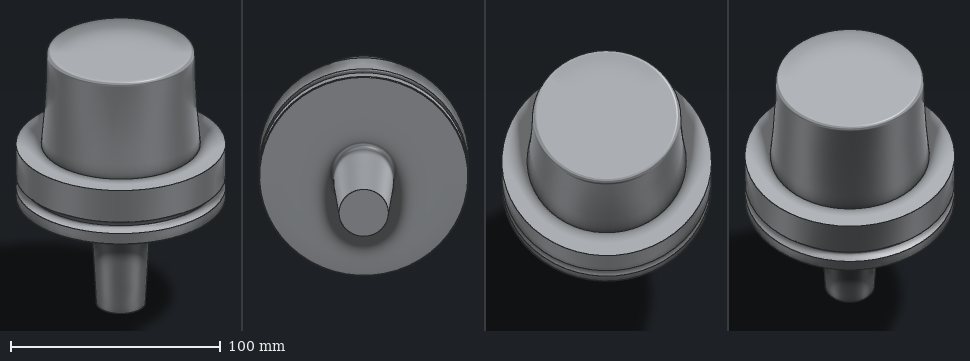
import cadquery as cq

HEIGHT = 135.0

FLANGE_RADIUS = 100.0 / 2
FLANGE_TOP = 85.0
FLANGE_BOTTOM = 56.2
FLANGE_CHAMFER = 0.4
GROOVE_TOP = 68.2
GROOVE_BOTTOM = 62.1
GROOVE_FLOOR_RADIUS = 45.9
GROOVE_WALL_HEIGHT = 1.6
GROOVE_CORNER_FILLET = 0.8

BODY_BASE_RADIUS = 38.0
BODY_TOP_RADIUS = 35.4
BODY_RIM_FILLET = 2.0

NECK_RADIUS = 14.3
NECK_BOTTOM = 47.2
NECK_FILLET = 3.0
SHANK_END_RADIUS = 11.7


def make_shank():
    """Revolve the neck and taper, with a flare rounding into the flange."""
    flare_radius = NECK_RADIUS + NECK_FILLET
    return (
        cq.Workplane("XZ")
        .lineTo(SHANK_END_RADIUS, 0)
        .lineTo(NECK_RADIUS, NECK_BOTTOM)
        .lineTo(NECK_RADIUS, FLANGE_BOTTOM - NECK_FILLET)
        .radiusArc((flare_radius, FLANGE_BOTTOM), NECK_FILLET)
        .lineTo(flare_radius, FLANGE_TOP)
        .lineTo(0, FLANGE_TOP)
        .close()
        .revolve(360, (0, 0), (0, 1))
    )


def make_flange():
    """Make the chamfered disc and cut its rim groove."""
    disc = (
        cq.Workplane("XY", origin=(0, 0, FLANGE_BOTTOM))
        .circle(FLANGE_RADIUS)
        .extrude(FLANGE_TOP - FLANGE_BOTTOM)
        .faces("<Z")
        .chamfer(FLANGE_CHAMFER)
    )
    profile = [
        (FLANGE_RADIUS, GROOVE_TOP),
        (GROOVE_FLOOR_RADIUS, GROOVE_TOP - GROOVE_WALL_HEIGHT),
        (GROOVE_FLOOR_RADIUS, GROOVE_BOTTOM + GROOVE_WALL_HEIGHT),
        (FLANGE_RADIUS, GROOVE_BOTTOM),
    ]
    groove = cq.Workplane("XZ").polyline(profile).close().revolve(360, (0, 0), (0, 1))
    floor_edges = cq.selectors.RadiusNthSelector(0)
    groove = groove.edges(floor_edges).fillet(GROOVE_CORNER_FILLET)
    return disc.cut(groove)


def make_body():
    """Revolve the flared upper body with its rounded top rim."""
    side_top = HEIGHT - BODY_RIM_FILLET
    rise = side_top - FLANGE_TOP
    flare = BODY_BASE_RADIUS - BODY_TOP_RADIUS
    side_curve_radius = (rise**2 + flare**2) / (2 * flare)
    return (
        cq.Workplane("XZ", origin=(0, 0, FLANGE_TOP))
        .lineTo(BODY_BASE_RADIUS, 0)
        .radiusArc((BODY_TOP_RADIUS, rise), side_curve_radius)
        .radiusArc((BODY_TOP_RADIUS - BODY_RIM_FILLET, rise + BODY_RIM_FILLET), -BODY_RIM_FILLET)
        .lineTo(0, rise + BODY_RIM_FILLET)
        .close()
        .revolve(360, (0, 0), (0, 1))
    )


result = make_shank().union(make_flange()).union(make_body())